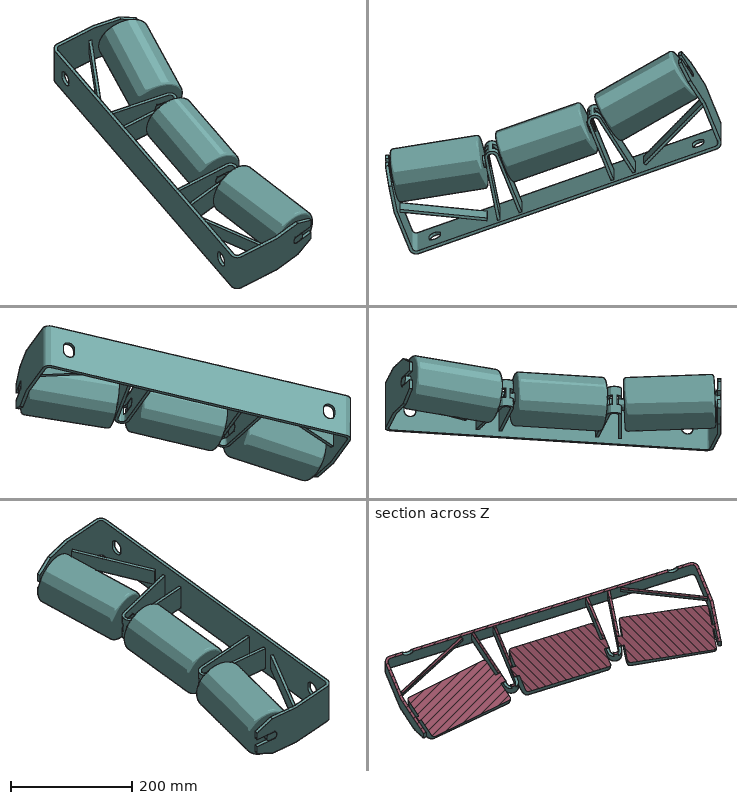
import cadquery as cq
import math


frame_length = 550.0
strip_height = 80.0
frame_thickness = 5.5
bend_radius = 12.0
lean_angle = 10.0
bend_depth = 83.0
end_depth = 159.5
end_chamfer_along = 30.0
end_chamfer_across = 16.5
mount_slot_spacing = 465.5
mount_slot_width = 20.0
mount_slot_height = 28.0

bracket_thickness = 5.0
bracket_height = 46.0
bracket_face_x = 78.5
arch_radius = 12.0
arch_center_y = 113.0

brace_thickness = 5.0
brace_height = 30.0
brace_foot_x = 140.0
brace_head_y = 71.0

roller_diameter = 89.0
roller_length = 149.5
roller_edge_radius = 5.0
axle_diameter = 20.0
axle_flat_width = 14.0
axle_slot_width = 16.0
shoulder_gap = 0.5
seat_clearance = 0.3
middle_roller_y = 98.5
side_roller_y = 116.0
bracket_axle_z = -6.5

lean = math.radians(lean_angle)
across = cq.Vector(math.cos(lean), math.sin(lean), 0)
up_lean = cq.Vector(-math.sin(lean), math.cos(lean), 0)

half_length = frame_length / 2
end_bend = cq.Vector(half_length, bend_depth, 0)
arch_center = cq.Vector(bracket_face_x + arch_radius, arch_center_y, 0)
end_face = end_bend.dot(across)
leg_face = arch_center.dot(across) + arch_radius

side_gap = end_face - frame_thickness - leg_face
side_reach = leg_face + side_gap / 2
side_rise = (side_roller_y - side_reach * across.y) / up_lean.y
side_center = across * side_reach + up_lean * side_rise
side_tilt = math.degrees(math.atan2(-bracket_axle_z, side_gap + frame_thickness))


def rod(diameter, length):
    """Cylinder along X, centred on the origin."""
    return cq.Workplane("YZ", origin=(-length / 2, 0, 0)).circle(diameter / 2).extrude(length)


def mirror_x(body):
    return body.mirror("YZ")


def axle_slot(thickness, angle, center):
    """Cutter for a round-bottomed slot, open along the plate, through one plate."""
    depth = 2 * thickness
    reach = end_depth
    seat = rod(axle_diameter + 2 * seat_clearance, depth)
    seat = seat.intersect(cq.Workplane("XY").box(depth, axle_diameter * 2, axle_slot_width))
    throat = cq.Workplane("XY").box(depth, reach, axle_slot_width).translate((0, reach / 2, 0))
    return seat.union(throat).rotate((0, 0, 0), (0, 0, 1), angle).translate(center)


def end_plate_cutters():
    """Axle slot and the two tip chamfers of the +X end plate."""
    mid_plate = across * (end_face - frame_thickness / 2)
    slot = axle_slot(frame_thickness, lean_angle, mid_plate + up_lean * side_rise)
    tip_rise = (end_depth - end_face * across.y) / up_lean.y
    half_height = strip_height / 2
    chamfer = (
        cq.Workplane("YZ")
        .polyline([
            (0, half_height - end_chamfer_across),
            (0, half_height),
            (-end_chamfer_along, half_height),
        ])
        .close()
        .extrude(frame_thickness, both=True)
    )
    chamfers = chamfer.union(chamfer.mirror("XY")).rotate((0, 0, 0), (0, 0, 1), lean_angle)
    return slot.union(chamfers.translate(mid_plate + up_lean * tip_rise))


def make_frame():
    inner_x = half_length - frame_thickness
    inner_bend_y = bend_depth - frame_thickness * math.tan(lean / 2)
    tip_run = (end_depth - bend_depth) * math.tan(lean)
    tip = cq.Vector(half_length - tip_run, end_depth, 0)
    inner_tip = tip - across * frame_thickness
    half_outline = [
        (half_length, 0),
        (half_length, bend_depth),
        (tip.x, tip.y),
        (inner_tip.x, inner_tip.y),
        (inner_x, inner_bend_y),
        (inner_x, frame_thickness),
    ]
    other_half = [(-x, y) for x, y in reversed(half_outline)]
    frame = cq.Workplane("XY").polyline(half_outline + other_half).close()
    frame = frame.extrude(strip_height / 2, both=True)

    inner_radius = bend_radius - frame_thickness
    bends = [
        (half_length, 0, bend_radius),
        (half_length, bend_depth, bend_radius),
        (inner_x, frame_thickness, inner_radius),
        (inner_x, inner_bend_y, inner_radius),
    ]
    for x, y, radius in bends:
        for side in (1, -1):
            frame = frame.edges(cq.NearestToPointSelector((side * x, y, 0))).fillet(radius)

    cutters = end_plate_cutters()
    mount_slots = (
        cq.Workplane("XZ")
        .pushPoints([(-mount_slot_spacing / 2, 0), (mount_slot_spacing / 2, 0)])
        .slot2D(mount_slot_height, mount_slot_width, 90)
        .extrude(-frame_thickness)
    )
    return frame.cut(cutters).cut(mirror_x(cutters)).cut(mount_slots)


def make_bracket():
    """Bracket on the +X side: an upright leg, an arch and a leaning leg."""
    inner_radius = arch_radius - bracket_thickness
    to_crown = cq.Vector(0, 1, 0)

    def leg_foot(radius):
        start = arch_center + across * radius
        return start - up_lean * ((start.y - frame_thickness) / up_lean.y)

    def flat(point):
        return (point.x, point.y)

    bracket = (
        cq.Workplane("XY", origin=(0, 0, -bracket_height / 2))
        .moveTo(bracket_face_x, frame_thickness)
        .lineTo(bracket_face_x, arch_center_y)
        .threePointArc(flat(arch_center + to_crown * arch_radius),
                       flat(arch_center + across * arch_radius))
        .lineTo(*flat(leg_foot(arch_radius)))
        .lineTo(*flat(leg_foot(inner_radius)))
        .lineTo(*flat(arch_center + across * inner_radius))
        .threePointArc(flat(arch_center + to_crown * inner_radius),
                       (bracket_face_x + bracket_thickness, arch_center_y))
        .lineTo(bracket_face_x + bracket_thickness, frame_thickness)
        .close()
        .extrude(bracket_height)
    )
    upright_seat = cq.Vector(bracket_face_x + bracket_thickness / 2, middle_roller_y, 0)
    leaning_seat = across * (leg_face - bracket_thickness / 2) + up_lean * side_rise
    bracket = bracket.cut(axle_slot(bracket_thickness, 0, upright_seat))
    bracket = bracket.cut(axle_slot(bracket_thickness, lean_angle, leaning_seat))
    return bracket.translate((0, 0, bracket_axle_z))


def make_brace():
    """Flat bar on the +X side whose lower corners rest on the back and end plates."""
    run = half_length - frame_thickness - brace_foot_x
    rise = brace_head_y - frame_thickness
    length = math.hypot(run, rise)
    return (
        cq.Workplane("XY")
        .rect(length, brace_thickness, centered=False)
        .extrude(brace_height / 2, both=True)
        .rotate((0, 0, 0), (0, 0, 1), math.degrees(math.atan2(rise, run)))
        .translate((brace_foot_x, frame_thickness, 0))
    )


def make_roller(gap, plate_thicknesses):
    """Roller along X, centred in a gap, with flatted axle ends entering the plates."""
    barrel = rod(roller_diameter, roller_length).edges("%CIRCLE").fillet(roller_edge_radius)
    roller = barrel.union(rod(axle_diameter, gap - 2 * shoulder_gap))
    for side, thickness in zip((-1, 1), plate_thicknesses):
        tip_length = gap / 2 + thickness
        tip = cq.Workplane("YZ").circle(axle_diameter / 2).extrude(side * tip_length)
        flats = cq.Workplane("XY").box(2 * tip_length, axle_diameter, axle_flat_width)
        roller = roller.union(tip.intersect(flats))
    return roller


def make_middle_roller():
    roller = make_roller(2 * bracket_face_x, (bracket_thickness, bracket_thickness))
    return roller.translate((0, middle_roller_y, bracket_axle_z))


def make_side_roller():
    """Roller on the +X side, leaning with the plates and rising toward the end plate."""
    roller = make_roller(side_gap, (bracket_thickness, frame_thickness))
    roller = roller.rotate((0, 0, 0), (0, 1, 0), -side_tilt)
    roller = roller.rotate((0, 0, 0), (0, 0, 1), lean_angle)
    return roller.translate(side_center + cq.Vector(0, 0, bracket_axle_z / 2))


frame = make_frame()
middle_roller = make_middle_roller()
bodies = [frame.val(), middle_roller.val()]
for make_body in (make_bracket, make_brace, make_side_roller):
    body = make_body()
    bodies += [body.val(), mirror_x(body).val()]

result = cq.Compound.makeCompound(bodies)